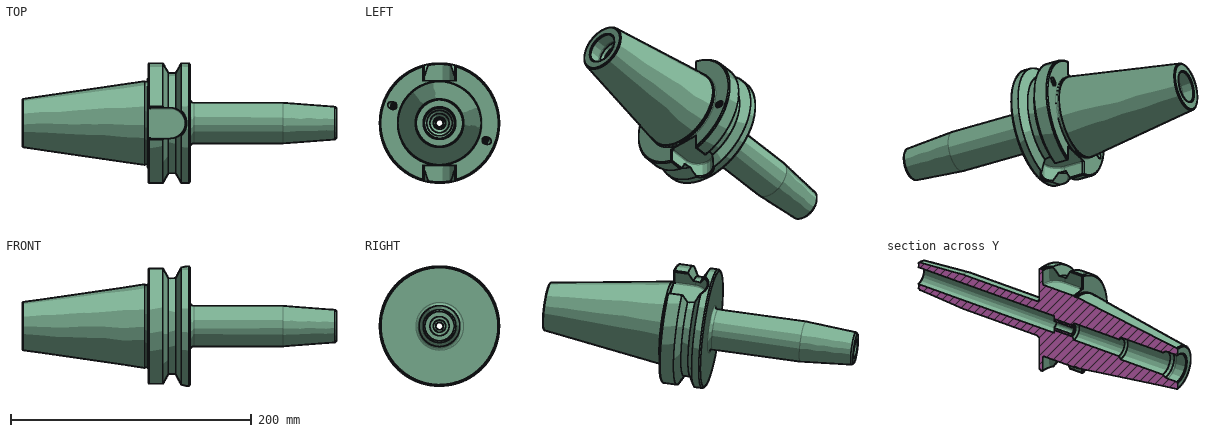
import cadquery as cq
import math

LENGTH = 261.8

TAPER_LENGTH = 101.8
TAPER_DIAMETER = 70.0
TAPER_RATE = 7 / 24
TAPER_TIP_CHAMFER = 0.8
NECK_DIAMETER = 68.9
NECK_FILLET = 0.8

FLANGE_START = 104.7
FLANGE_END = 139.8
FLANGE_DIAMETER = 100.0
FLANGE_CHAMFER = 1.3
GROOVE_DIAMETER = 83.8
GROOVE_FLOOR_START = 121.7
GROOVE_FLOOR_END = 127.8
GROOVE_ANGLE = 60.0

SHANK_DIAMETER = 34.0
SHANK_FILLET = 3.0
NOSE_START = 217.0
NOSE_DIAMETER = 27.5
NOSE_CHAMFER = 1.5

HALF_TURNS = (0, 180)

SLOT_WIDTH = 25.7
SLOT_FLOOR_HEIGHT = 35.0
SLOT_END = 136.0
SLOT_CHAMFER = 1.0
SLOT_FLOOR_FILLET = 0.8

MOUTH_DIAMETER = 25.7
MOUTH_CHAMFER = 0.8
MOUTH_DEPTH = 10.5
RUNOUT_DIAMETER = 25.1
RUNOUT_LENGTH = 1.8
THREAD_DIAMETER = 21.2
MOUTH_CONE_LENGTH = 2.5
THREAD_DEPTH = 57.5
MIDDLE_DIAMETER = 16.0
MIDDLE_DEPTH = 104.7
DRILL_TIP_ANGLE = 118.0

STOP_DIAMETER = 10.2
STOP_LENGTH = 18.3
STOP_HOLE_DIAMETER = 6.0
STOP_COUNTERSINK_DIAMETER = 7.3
TOOL_DIAMETER = 16.0

PLUG_DIAMETER = 6.0
PLUG_LENGTH = 6.8
PLUG_RECESS = 1.8
PLUG_CIRCLE_RADIUS = 42.0
PLUG_ANGLE = 20.5
PLUG_TILT = 40.0
SOCKET_WIDTH = 3.0
SOCKET_DEPTH = 3.1

TOLERANCE = 0.003


def turned(points):
    """Solid of revolution about X from (x, radius) points that start and end on the axis."""
    return cq.Workplane("XY").polyline(points).close().revolve(360, (0, 0, 0), (1, 0, 0))


def cone_length(large_diameter, small_diameter):
    """Length of a drill-tip cone between two diameters."""
    return (large_diameter - small_diameter) / 2 / math.tan(math.radians(DRILL_TIP_ANGLE / 2))


STOP_START = MIDDLE_DEPTH + cone_length(MIDDLE_DIAMETER, STOP_DIAMETER)


def taper():
    """Taper with a narrow neck that is filleted into the flange face."""
    tip_radius = (TAPER_DIAMETER - TAPER_RATE * TAPER_LENGTH) / 2
    neck_radius = NECK_DIAMETER / 2
    fillet_start = FLANGE_START - NECK_FILLET
    fillet_middle = (
        fillet_start + NECK_FILLET * math.sin(math.pi / 4),
        neck_radius + NECK_FILLET * (1 - math.cos(math.pi / 4)),
    )
    return (
        cq.Workplane("XY")
        .lineTo(0, tip_radius - TAPER_TIP_CHAMFER)
        .lineTo(TAPER_TIP_CHAMFER, tip_radius + TAPER_TIP_CHAMFER * TAPER_RATE / 2)
        .lineTo(TAPER_LENGTH, TAPER_DIAMETER / 2)
        .lineTo(TAPER_LENGTH, neck_radius)
        .lineTo(fillet_start, neck_radius)
        .threePointArc(fillet_middle, (FLANGE_START, neck_radius + NECK_FILLET))
        .lineTo(FLANGE_START, 0)
        .close()
        .revolve(360, (0, 0, 0), (1, 0, 0))
    )


def drive_slot():
    """Round-ended slot at +Z, open towards the taper."""
    straight_end = SLOT_END - SLOT_WIDTH / 2
    return (
        cq.Workplane("XY", origin=(0, 0, SLOT_FLOOR_HEIGHT))
        .moveTo(FLANGE_START, -SLOT_WIDTH / 2)
        .lineTo(straight_end, -SLOT_WIDTH / 2)
        .threePointArc((SLOT_END, 0), (straight_end, SLOT_WIDTH / 2))
        .lineTo(FLANGE_START, SLOT_WIDTH / 2)
        .close()
        .extrude(FLANGE_DIAMETER / 2)
    )


def on_slot_rim(edge):
    """True for an edge where a drive slot meets the outer cylinder of the flange."""
    ends = (edge.startPoint(), edge.endPoint())
    return all(
        abs(end.y) < SLOT_WIDTH and abs(math.hypot(end.y, end.z) - FLANGE_DIAMETER / 2) < TOLERANCE
        for end in ends
    )


def on_slot_floor(edge):
    """True for an edge where a drive slot's wall meets its floor."""
    points = (edge.startPoint(), edge.positionAt(0.5))
    return all(abs(abs(point.z) - SLOT_FLOOR_HEIGHT) < TOLERANCE for point in points)


def flange():
    radius = FLANGE_DIAMETER / 2
    groove_radius = GROOVE_DIAMETER / 2
    flank_length = (radius - groove_radius) * math.tan(math.radians(GROOVE_ANGLE / 2))
    body = turned([
        (FLANGE_START, 0),
        (FLANGE_START, radius),
        (GROOVE_FLOOR_START - flank_length, radius),
        (GROOVE_FLOOR_START, groove_radius),
        (GROOVE_FLOOR_END, groove_radius),
        (GROOVE_FLOOR_END + flank_length, radius),
        (FLANGE_END - FLANGE_CHAMFER, radius),
        (FLANGE_END, radius - FLANGE_CHAMFER),
        (FLANGE_END, 0),
    ])
    for turn in HALF_TURNS:
        body = body.cut(drive_slot().rotate((0, 0, 0), (1, 0, 0), turn))
    face_edges = body.faces("<X").edges("%CIRCLE or |Z").vals()
    rim_edges = body.edges("|X or %BSPLINE").filter(on_slot_rim).vals()
    chamfered = body.newObject(face_edges + rim_edges).chamfer(SLOT_CHAMFER)
    return chamfered.edges("|X or %CIRCLE").filter(on_slot_floor).fillet(SLOT_FLOOR_FILLET)


def shank():
    radius = SHANK_DIAMETER / 2
    tip_radius = NOSE_DIAMETER / 2
    fillet_center = (FLANGE_END + SHANK_FILLET, radius + SHANK_FILLET)
    fillet_middle = tuple(c - SHANK_FILLET * math.sqrt(0.5) for c in fillet_center)
    return (
        cq.Workplane("XY")
        .moveTo(FLANGE_END, 0)
        .lineTo(FLANGE_END, fillet_center[1])
        .threePointArc(fillet_middle, (fillet_center[0], radius))
        .lineTo(NOSE_START, radius)
        .lineTo(LENGTH - NOSE_CHAMFER, tip_radius)
        .lineTo(LENGTH, tip_radius - NOSE_CHAMFER)
        .lineTo(LENGTH, 0)
        .close()
        .revolve(360, (0, 0, 0), (1, 0, 0))
    )


def bore():
    """Stepped bore from the taper end, the stop screw's passage and the tool socket."""
    mouth = MOUTH_DIAMETER / 2
    thread = THREAD_DIAMETER / 2
    middle = MIDDLE_DIAMETER / 2
    passage = STOP_DIAMETER / 2
    tool = TOOL_DIAMETER / 2
    return turned([
        (0, 0),
        (0, mouth + MOUTH_CHAMFER),
        (MOUTH_CHAMFER, mouth),
        (MOUTH_DEPTH, mouth),
        (MOUTH_DEPTH + RUNOUT_LENGTH, RUNOUT_DIAMETER / 2),
        (MOUTH_DEPTH + RUNOUT_LENGTH + MOUTH_CONE_LENGTH, thread),
        (THREAD_DEPTH, thread),
        (THREAD_DEPTH + cone_length(THREAD_DIAMETER, MIDDLE_DIAMETER), middle),
        (MIDDLE_DEPTH, middle),
        (STOP_START, passage),
        (STOP_START + STOP_LENGTH, passage),
        (STOP_START + STOP_LENGTH, tool),
        (LENGTH, tool),
        (LENGTH, 0),
    ])


def plug_plane(distance):
    """Plane across a plug hole's axis, at a distance along it from the flange face."""
    angle = math.radians(PLUG_ANGLE)
    tilt = math.radians(PLUG_TILT)
    outward = cq.Vector(0, math.cos(angle), math.sin(angle))
    inward = cq.Vector(math.cos(tilt), 0, 0) - outward * math.sin(tilt)
    mouth = cq.Vector(FLANGE_START, 0, 0) + outward * PLUG_CIRCLE_RADIUS
    return cq.Plane(origin=mouth + inward * distance, xDir=inward.cross(outward), normal=inward)


def plug_hole():
    """Slanted blind hole that ends flush with its plug; it starts outside the flange."""
    depth = PLUG_RECESS + PLUG_LENGTH
    return cq.Workplane(plug_plane(-PLUG_DIAMETER)).circle(PLUG_DIAMETER / 2).extrude(PLUG_DIAMETER + depth)


def plug_screw():
    """Headless screw with a hexagon socket."""
    body = cq.Workplane(plug_plane(PLUG_RECESS)).circle(PLUG_DIAMETER / 2).extrude(PLUG_LENGTH)
    socket = (
        cq.Workplane(plug_plane(PLUG_RECESS))
        .polygon(6, SOCKET_WIDTH, circumscribed=True)
        .extrude(SOCKET_DEPTH)
    )
    return body.cut(socket)


def stop_screw():
    """Plain tube whose hole is countersunk at the bore end."""
    hole = STOP_HOLE_DIAMETER / 2
    countersink = STOP_COUNTERSINK_DIAMETER / 2
    end = STOP_START + STOP_LENGTH
    return (
        cq.Workplane("XY")
        .polyline([
            (STOP_START, countersink),
            (STOP_START, STOP_DIAMETER / 2),
            (end, STOP_DIAMETER / 2),
            (end, hole),
            (STOP_START + countersink - hole, hole),
        ])
        .close()
        .revolve(360, (0, 0, 0), (1, 0, 0))
    )


def holder():
    body = taper().union(flange()).union(shank()).cut(bore())
    for turn in HALF_TURNS:
        body = body.cut(plug_hole().rotate((0, 0, 0), (1, 0, 0), turn))
    return body


plug_screws = [plug_screw().rotate((0, 0, 0), (1, 0, 0), turn) for turn in HALF_TURNS]

result = cq.Compound.makeCompound([
    holder().val(),
    stop_screw().val(),
    *[plug.val() for plug in plug_screws],
])